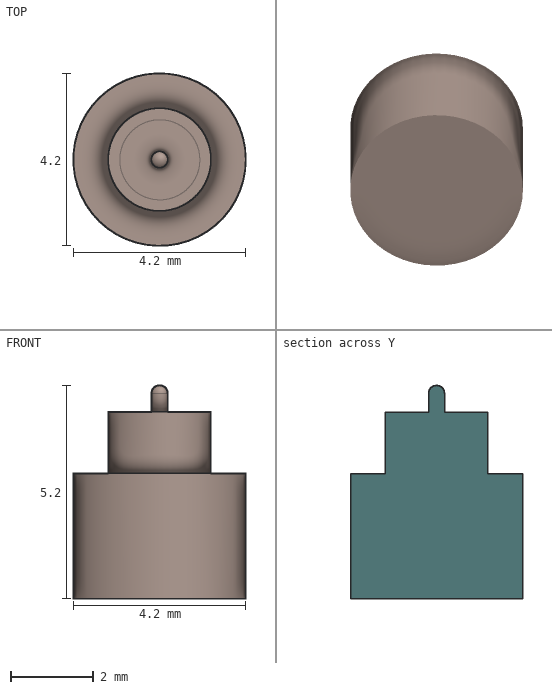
import cadquery as cq
import math

total_height = 5.2
body_diameter = 4.2
body_height = 3.05
collar_diameter = 2.5
collar_height = 1.5
insulator_diameter = 1.95
pin_diameter = 0.4

body_radius = body_diameter / 2
collar_radius = collar_diameter / 2
insulator_radius = insulator_diameter / 2
pin_radius = pin_diameter / 2
collar_top = body_height + collar_height
dome_base = total_height - pin_radius
dome_mid_offset = pin_radius * math.sin(math.radians(45))

half_section = (
    cq.Workplane("XZ")
    .lineTo(body_radius, 0)
    .lineTo(body_radius, body_height)
    .lineTo(collar_radius, body_height)
    .lineTo(collar_radius, collar_top)
    .lineTo(insulator_radius, collar_top)
    .lineTo(pin_radius, collar_top)
    .lineTo(pin_radius, dome_base)
    .threePointArc((dome_mid_offset, dome_base + dome_mid_offset), (0, total_height))
    .close()
)

result = half_section.revolve(360, (0, 0, 0), (0, 1, 0), clean=False)